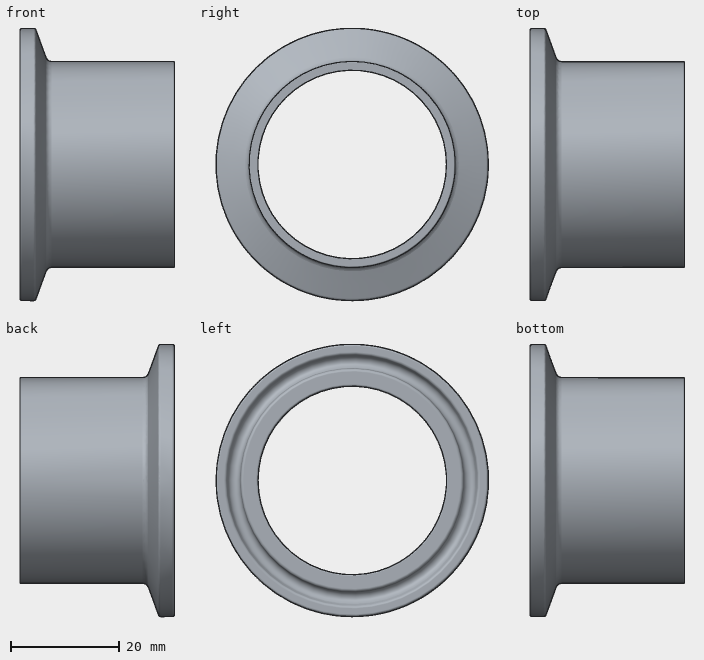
import cadquery as cq
import math

length = 28.57
flange_radius = 50.39 / 2
tube_radius = 38.1 / 2
bore_radius = 34.8 / 2

cone_angle = math.radians(20)
rim_width = 2.86
face_edge_fillet = 0.4
back_edge_fillet = 0.5
neck_fillet = 1.1

bore_mouth_fillet = 0.35
tube_end_fillet = 0.2

groove_radius = 21.83
groove_depth = 1.65
groove_floor_radius = 1.18
outer_wall_angle = math.radians(65)
inner_wall_angle = math.radians(80)
groove_lip_fillet = 0.55


def floor_offset(angle):
    """Axial and radial position on the floor arc, relative to the groove radius."""
    axial = groove_depth - groove_floor_radius * (1 - math.cos(angle))
    radial = groove_floor_radius * math.sin(angle)
    return axial, radial


def groove_half_width(wall_angle):
    """Radial distance from the deepest point to the wall at the sealing face."""
    axial, radial = floor_offset(wall_angle)
    return radial + axial / math.tan(wall_angle)


cone_end = rim_width + (flange_radius - tube_radius) * math.tan(cone_angle)
groove_outer_edge = groove_radius + groove_half_width(outer_wall_angle)
groove_inner_edge = groove_radius - groove_half_width(inner_wall_angle)


def make_body():
    """Revolve the half section, with X along the axis and Y as the radius."""
    outer_axial, outer_radial = floor_offset(outer_wall_angle)
    inner_axial, inner_radial = floor_offset(inner_wall_angle)
    profile = (
        cq.Workplane("XY")
        .moveTo(0, bore_radius)
        .lineTo(0, groove_inner_edge)
        .lineTo(inner_axial, groove_radius - inner_radial)
        .threePointArc((groove_depth, groove_radius), (outer_axial, groove_radius + outer_radial))
        .lineTo(0, groove_outer_edge)
        .lineTo(0, flange_radius)
        .lineTo(rim_width, flange_radius)
        .lineTo(cone_end, tube_radius)
        .lineTo(length, tube_radius)
        .lineTo(length, bore_radius)
        .close()
    )
    return profile.revolve(360, (0, 0, 0), (1, 0, 0))


def round_edge(body, axial, radius, fillet):
    """Fillet the circular edge found at the given axial position and radius."""
    tolerance = 0.01
    matching = []
    for edge in body.edges("%CIRCLE").vals():
        same_radius = abs(edge.radius() - radius) < tolerance
        same_position = abs(edge.arcCenter().x - axial) < tolerance
        if same_radius and same_position:
            matching.append(edge)
    return body.newObject(matching).fillet(fillet)


def round_edges(body):
    """Round every sharp circular edge apart from the bore's far end."""
    rounded_edges = [
        (0, flange_radius, face_edge_fillet),
        (rim_width, flange_radius, back_edge_fillet),
        (cone_end, tube_radius, neck_fillet),
        (0, groove_inner_edge, groove_lip_fillet),
        (0, groove_outer_edge, groove_lip_fillet),
        (0, bore_radius, bore_mouth_fillet),
        (length, tube_radius, tube_end_fillet),
    ]
    for axial, radius, fillet in rounded_edges:
        body = round_edge(body, axial, radius, fillet)
    return body


result = round_edges(make_body())